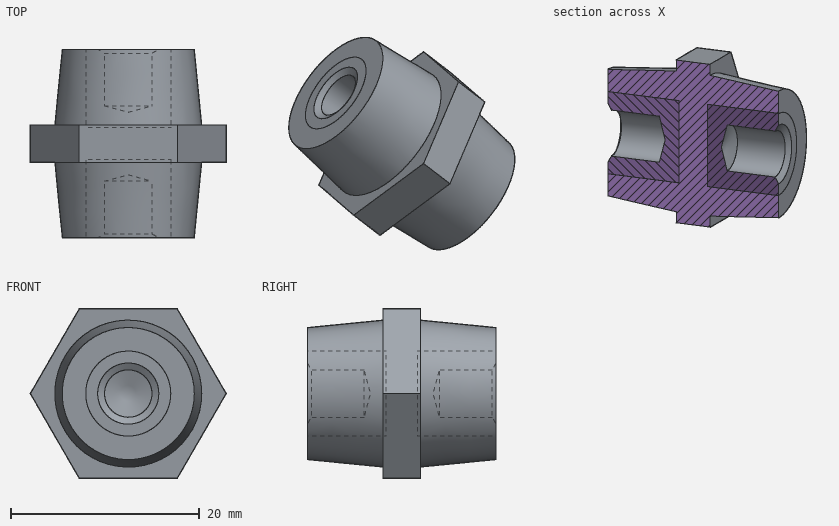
import cadquery as cq
import math

hex_corner_width = 20.78
collar_length = 4.0

overall_length = 20.0
boss_root_radius = 7.8
boss_end_radius = 7.0

insert_radius = 4.5
insert_length = 8.31
bore_radius = 2.51
bore_mouth_radius = 3.25
bore_depth = 6.0
countersink_angle = 120.0
drill_point_angle = 150.0

half_collar = collar_length / 2
half_length = overall_length / 2
countersink_depth = (bore_mouth_radius - bore_radius) / math.tan(math.radians(countersink_angle / 2))
drill_point_height = bore_radius / math.tan(math.radians(drill_point_angle / 2))

END_DIRECTIONS = (-1, 1)


def revolve_about_y(outline):
    """Turn a closed list of (radius, y) points once around the Y axis."""
    return cq.Workplane("XY").polyline(outline).close().revolve(360, (0, 0, 0), (0, 1, 0))


def make_collar():
    """Hexagonal prism with two opposite corners on the X axis."""
    return (
        cq.Workplane("XZ")
        .polygon(6, hex_corner_width)
        .extrude(half_collar, both=True)
    )


def make_tapered_body():
    """Both bosses as one turned shape, widest where it passes through the collar."""
    return revolve_about_y([
        (0, -half_length),
        (boss_end_radius, -half_length),
        (boss_root_radius, -half_collar),
        (boss_root_radius, half_collar),
        (boss_end_radius, half_length),
        (0, half_length),
    ])


def make_insert_recess(direction):
    """Cylinder that the insert fills, at the -Y or +Y end of the housing."""
    inner_end = direction * (half_length - insert_length)
    outer_end = direction * half_length
    return revolve_about_y([
        (0, inner_end),
        (insert_radius, inner_end),
        (insert_radius, outer_end),
        (0, outer_end),
    ])


def make_housing():
    housing = make_collar().union(make_tapered_body())
    for direction in END_DIRECTIONS:
        housing = housing.cut(make_insert_recess(direction))
    return housing


def make_insert(direction):
    """Round insert with a countersunk blind bore that ends in a drill point."""
    outer_end = direction * half_length
    inner_end = direction * (half_length - insert_length)
    countersink_end = direction * (half_length - countersink_depth)
    bore_end = direction * (half_length - bore_depth)
    drill_tip = direction * (half_length - bore_depth - drill_point_height)
    return revolve_about_y([
        (0, inner_end),
        (insert_radius, inner_end),
        (insert_radius, outer_end),
        (bore_mouth_radius, outer_end),
        (bore_radius, countersink_end),
        (bore_radius, bore_end),
        (0, drill_tip),
    ])


housing = make_housing()
inserts = [make_insert(direction) for direction in END_DIRECTIONS]

result = cq.Compound.makeCompound([housing.val(), *[insert.val() for insert in inserts]])